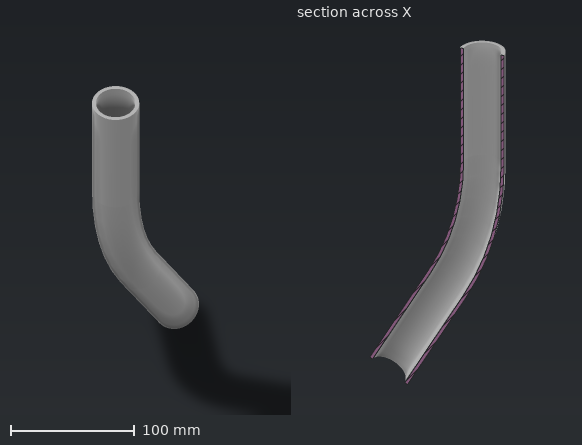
import cadquery as cq
import math

total_height = 313.5
outer_diameter = 38.2
inner_diameter = 32.0
bend_radius = 228.5
bend_angle = 30.0

sin_bend = math.sin(math.radians(bend_angle))
cos_bend = math.cos(math.radians(bend_angle))

bend_height = bend_radius * sin_bend
rim_drop = outer_diameter / 2 * sin_bend
leg_length = (total_height - bend_height - rim_drop) / (1 + cos_bend)


def arc_point(angle):
    """Centreline (Y, Z) point of the bend, at an angle below its upper end."""
    turn = math.radians(angle)
    y = bend_radius * (1 - math.cos(turn))
    z = total_height - leg_length - bend_radius * math.sin(turn)
    return y, z


bend_end_y, bend_end_z = arc_point(bend_angle)
lower_end = (bend_end_y + leg_length * sin_bend, bend_end_z - leg_length * cos_bend)
centreline = (
    cq.Workplane("YZ")
    .moveTo(0, total_height)
    .lineTo(*arc_point(0))
    .threePointArc(arc_point(bend_angle / 2), arc_point(bend_angle))
    .lineTo(*lower_end)
)

result = (
    cq.Workplane("XY", origin=(0, 0, total_height))
    .circle(outer_diameter / 2)
    .circle(inner_diameter / 2)
    .sweep(centreline)
)